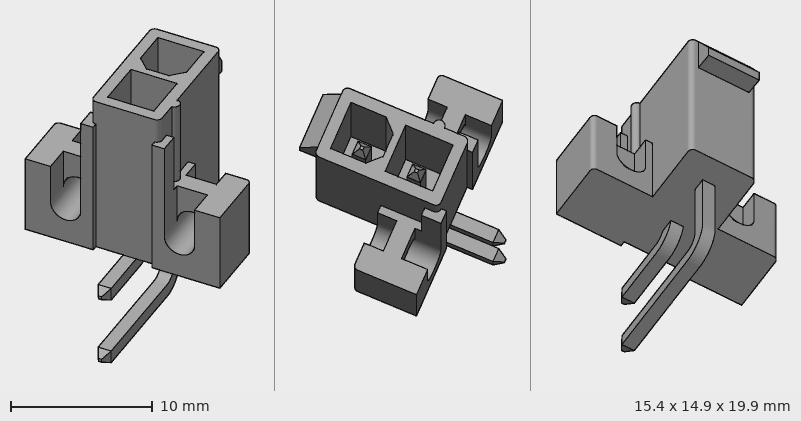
import cadquery as cq

body_width = 5.45
body_depth = 9.59
body_height = 12.8
overall_height = 19.93
corner_radius = 0.4

pitch = 4.2
pocket_size = 3.65
pocket_depth = 9.96
pocket_chamfer = 0.94
front_pocket_y = 2.7
rear_pocket_y = front_pocket_y + pitch

ear_span = 15.4
ear_front_y = -0.42
ear_rear_y = 4.46
ear_height = 6.22
ear_corner_radius = 0.35
web_front_y = 1.6
web_rear_y = 2.99
hole_x = 4.5
hole_z = 3.1
hole_diameter = 2.4

post_inner_x = body_width / 2 - corner_radius
post_outer_x = hole_x - hole_diameter / 2
post_rear_y = 1.1
post_height = 10.82

rib_y = 2.33
rib_radius = 0.42

latch_width = 4.2
latch_reach = 1.4
latch_ramp_end_z = 10.55
latch_tip_z = 9.65
latch_root_z = 9.77

pin_size = 1.04
pin_bend_radius = 1.55
pin_tip_length = 0.72
pin_tip_size = 0.25
pin_top_z = 8.77
pin_end_y = -3.93
front_pin_y = 2.89
rear_pin_y = front_pin_y + pitch
rear_pin_z = body_height - overall_height + pin_size / 2
front_pin_z = -1.1


def box(x_min, x_max, y_min, y_max, z_min, z_max):
    size = (x_max - x_min, y_max - y_min, z_max - z_min)
    return cq.Workplane("XY").box(*size, centered=False).translate((x_min, y_min, z_min))


def make_body():
    half_width = body_width / 2
    block = box(-half_width, half_width, 0, body_depth, 0, body_height)
    return block.edges("|Z").fillet(corner_radius)


def make_pocket(center_y):
    half = pocket_size / 2
    floor_z = body_height - pocket_depth
    return box(-half, half, center_y - half, center_y + half, floor_z, body_height)


def make_slot(y_min, y_max):
    """Slot rounded at its lower end and open at the top of the ear."""
    radius = hole_diameter / 2
    bore = (
        cq.Workplane("XZ", origin=(hole_x, y_min, hole_z))
        .circle(radius)
        .extrude(y_min - y_max)
    )
    return bore.union(box(hole_x - radius, hole_x + radius, y_min, y_max, hole_z, ear_height))


def make_ear():
    """Ear and post on the +X side, reaching in to the body."""
    ear = box(post_inner_x, ear_span / 2, ear_front_y, ear_rear_y, 0, ear_height)
    ear = ear.edges("|Z and >X and >Y").fillet(ear_corner_radius)
    post = box(post_inner_x, post_outer_x, ear_front_y, post_rear_y, 0, post_height)
    through_hole = (
        cq.Workplane("XZ", origin=(hole_x, ear_front_y, hole_z))
        .circle(hole_diameter / 2)
        .extrude(ear_front_y - ear_rear_y)
    )
    return (
        ear.union(post)
        .cut(make_slot(ear_front_y, web_front_y))
        .cut(make_slot(web_rear_y, ear_rear_y))
        .cut(through_hole)
    )


def make_latch():
    root_y = body_depth
    tip_y = body_depth + latch_reach
    profile = [
        (root_y, body_height),
        (tip_y, latch_ramp_end_z),
        (tip_y, latch_tip_z),
        (root_y, latch_root_z),
    ]
    return cq.Workplane("YZ").polyline(profile).close().extrude(latch_width / 2, both=True)


def make_pin_tip(base_plane):
    return (
        base_plane.rect(pin_size, pin_size)
        .workplane(offset=pin_tip_length)
        .rect(pin_tip_size, pin_tip_size)
        .loft()
    )


def make_pin(leg_y, tail_z):
    """Square wire running down the leg, around the bend and out to the front."""
    leg_top_z = pin_top_z - pin_tip_length
    tail_end_y = pin_end_y + pin_tip_length
    half = pin_size / 2
    bend_y = leg_y - pin_bend_radius
    bend_z = tail_z + pin_bend_radius
    leg = box(-half, half, leg_y - half, leg_y + half, bend_z, leg_top_z)
    tail = box(-half, half, tail_end_y, bend_y, tail_z - half, tail_z + half)
    bend = (
        cq.Workplane("XY", origin=(0, leg_y, bend_z))
        .rect(pin_size, pin_size)
        .revolve(90, (0, -pin_bend_radius), (-1, -pin_bend_radius))
    )
    top_tip = make_pin_tip(cq.Workplane("XY", origin=(0, leg_y, leg_top_z)))
    tail_tip = make_pin_tip(cq.Workplane("XZ", origin=(0, tail_end_y, tail_z)))
    return leg.union(bend).union(tail).union(top_tip).union(tail_tip)


ear = make_ear()
rib = (
    cq.Workplane("XY", origin=(body_width / 2, rib_y, 0))
    .circle(rib_radius)
    .extrude(body_height)
)
front_pocket = make_pocket(front_pocket_y)
rear_pocket = make_pocket(rear_pocket_y).edges("|Z and <Y").chamfer(pocket_chamfer)

result = (
    make_body()
    .union(ear)
    .union(ear.mirror("YZ"))
    .union(rib)
    .union(make_latch())
    .cut(front_pocket)
    .cut(rear_pocket)
    .union(make_pin(front_pin_y, front_pin_z))
    .union(make_pin(rear_pin_y, rear_pin_z))
)